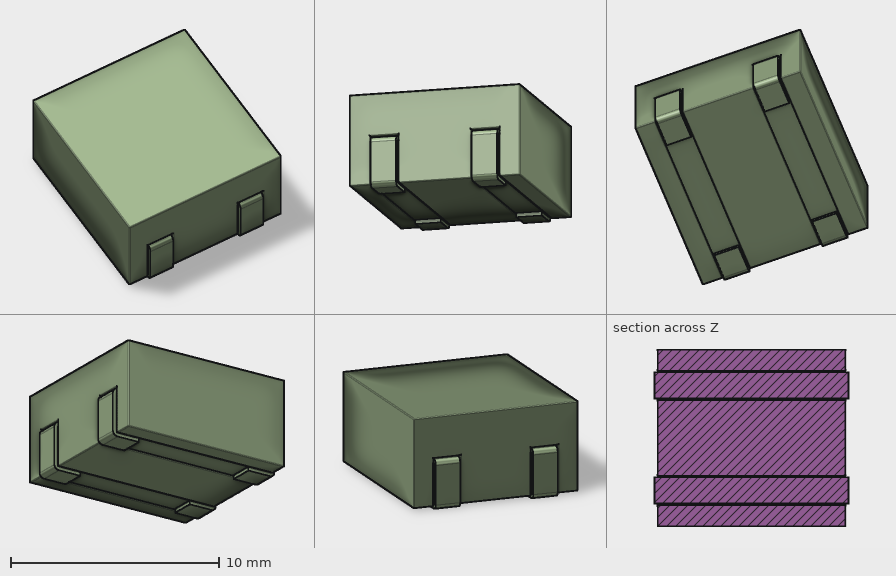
import cadquery as cq

overall_length = 9.34
body_width = 8.5
overall_height = 4.63

strip_thickness = 0.21
strip_width = 1.27
strip_top = 2.48
strip_spacing = 5.04
strip_proud = 0.15
foot_length = 1.5

body_length = overall_length - 2 * strip_proud
edge_radius = 0.05
channel_clearance = 0.07
channel_width = strip_width + 2 * channel_clearance
channel_top = strip_top + channel_clearance

bend_radius = edge_radius + strip_thickness

core_length = overall_length - 2 * strip_thickness
core_bottom = strip_thickness
core_top = strip_top - strip_thickness

strip_centers = (-strip_spacing / 2, strip_spacing / 2)


def block(length, width, bottom, top, center_y=0):
    """Box centred in X, standing between two heights."""
    return (
        cq.Workplane("XY", origin=(0, center_y, bottom))
        .box(length, width, top - bottom, centered=(True, True, False))
    )


def make_core(center_y, width):
    """Part of the body that a strip wraps around, rounded to the inside of the bends."""
    core = block(core_length, width, core_bottom, core_top, center_y)
    return core.edges("|Y").fillet(edge_radius)


def make_body():
    """Rounded block with a channel for each strip, refilled by the core inside it."""
    body = block(body_length, body_width, strip_proud, overall_height)
    for center_y in strip_centers:
        body = body.cut(block(body_length, channel_width, 0, channel_top, center_y))
    body = body.faces("<X or >X or <Y or >Y or <Z or >Z").edges().fillet(edge_radius)
    for center_y in strip_centers:
        body = body.union(make_core(center_y, channel_width))
    return body


def make_strip(center_y):
    """Top run through the body, two end legs and two feet turned under the body."""
    strip = block(overall_length, strip_width, 0, strip_top, center_y)
    strip = strip.edges("|Y").fillet(bend_radius)
    strip = strip.cut(make_core(center_y, strip_width))
    foot_gap = overall_length - 2 * foot_length
    return strip.cut(block(foot_gap, strip_width, 0, core_bottom, center_y))


result = make_body()
for strip_y in strip_centers:
    result = result.union(make_strip(strip_y))